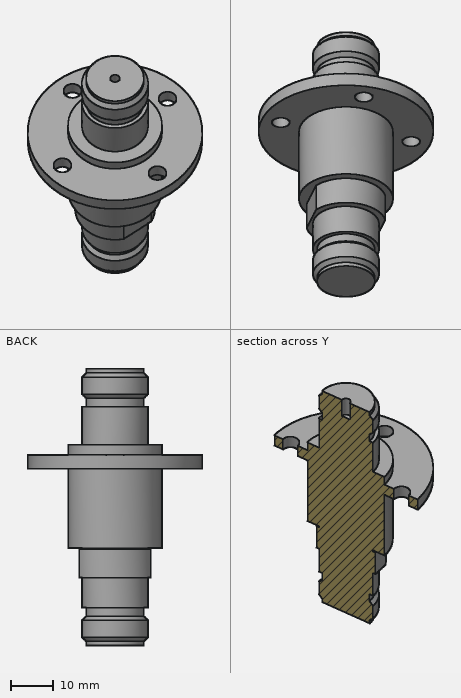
import cadquery as cq

total_height = 65.6

core_diameter = 13.7
barrel_diameter = 15.7
bevel = (barrel_diameter - core_diameter) / 2
tip_length = 1.0
ring_land_length = 4.0
groove_length = 2.0
end_length = tip_length + bevel + ring_land_length + bevel + groove_length

upper_barrel_length = 9.0
body_diameter = 22.3
collar_length = 2.4
flange_diameter = 41.4
flange_thickness = 3.3
body_length = 18.8

wrench_diameter = 19.0
wrench_across_flats = 17.0
wrench_length = 6.8
wrench_gap = 0.2

bolt_hole_diameter = 4.2
bolt_circle_diameter = 32.0
bolt_hole_count = 4
contact_bore_diameter = 2.2
contact_bore_depth = 5.0

barrel_top = total_height - end_length
collar_top = barrel_top - upper_barrel_length
flange_top = collar_top - collar_length
flange_bottom = flange_top - flange_thickness
body_bottom = flange_bottom - body_length
wrench_top = body_bottom - wrench_gap
wrench_bottom = wrench_top - wrench_length


def cylinder(diameter, bottom, top):
    """Cylinder on the Z axis between two levels."""
    return cq.Workplane("XY").workplane(offset=bottom).circle(diameter / 2).extrude(top - bottom)


def connector_end():
    """Grooved connector end, tip facing +Z, groove starting at Z = 0."""
    ring_start = groove_length
    ring_length = bevel + ring_land_length + bevel
    ring = cylinder(barrel_diameter, ring_start, ring_start + ring_length).edges("%CIRCLE").chamfer(bevel)
    return cylinder(core_diameter, 0, end_length).union(ring)


def wrench_section():
    """Round section trimmed by two parallel flats."""
    round_blank = cylinder(wrench_diameter, wrench_bottom, wrench_top)
    flats = (
        cq.Workplane("XY")
        .workplane(offset=wrench_bottom)
        .rect(wrench_across_flats, wrench_diameter)
        .extrude(wrench_length)
    )
    return round_blank.intersect(flats)


def bolt_holes():
    """Through holes spaced evenly around the flange."""
    return (
        cq.Workplane("XY")
        .workplane(offset=flange_bottom)
        .polarArray(bolt_circle_diameter / 2, 0, 360, bolt_hole_count)
        .circle(bolt_hole_diameter / 2)
        .extrude(flange_thickness)
    )


barrel = cylinder(barrel_diameter, end_length, barrel_top)
body = cylinder(body_diameter, body_bottom, collar_top)
flange = cylinder(flange_diameter, flange_bottom, flange_top).cut(bolt_holes())
upper_end = connector_end().translate((0, 0, barrel_top))
lower_end = connector_end().rotate((0, 0, 0), (1, 0, 0), 180).translate((0, 0, end_length))
contact_bore = cylinder(contact_bore_diameter, total_height - contact_bore_depth, total_height)

result = (
    barrel.union(body)
    .union(flange)
    .union(wrench_section())
    .union(upper_end)
    .union(lower_end)
    .cut(contact_bore)
)